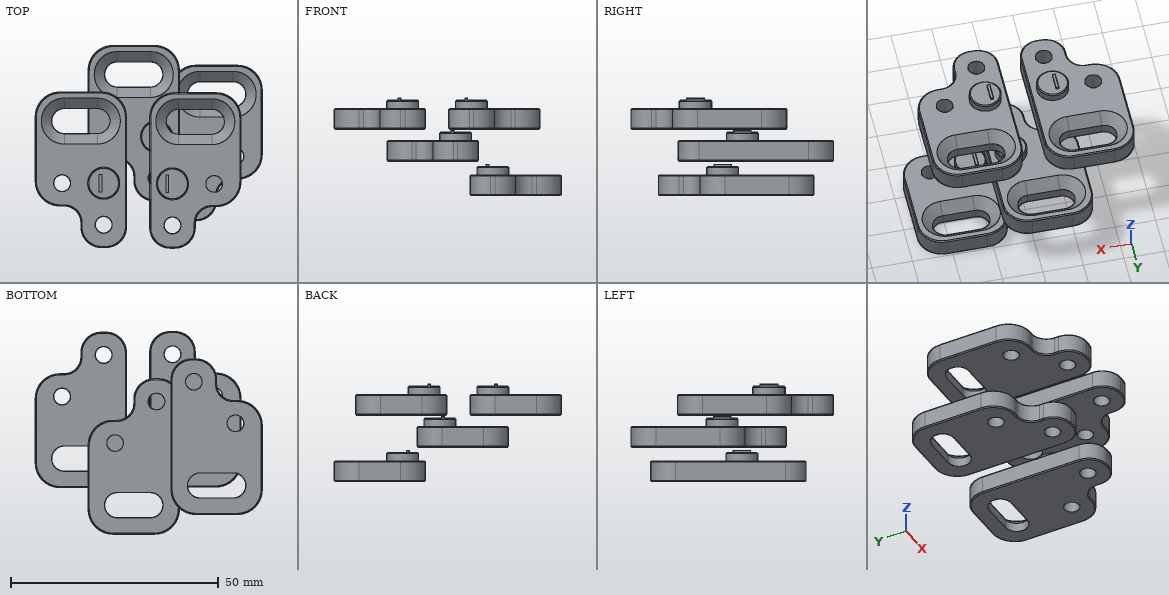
import cadquery as cq

plate_width = 22.0
plate_length = 37.5
plate_thickness = 5.0
foot_width = 11.0
foot_length = 10.0
corner_radius = 6.0
inner_radius = 4.0
foot_radius = 5.0
edge_break = 0.3

hole_diameter = 4.0
hole_spacing = 10.0
foot_hole_x = plate_width - foot_width / 2
foot_hole_y = foot_width / 2
shoulder_hole_x = foot_hole_x - hole_spacing
shoulder_hole_y = foot_hole_y + hole_spacing

slot_length = 14.0
slot_width = 6.0
bevel_width = 2.5
bevel_depth = 2.5
mouth_margin = 1.5
slot_x = plate_width / 2
slot_y = plate_length - mouth_margin - bevel_width - slot_width / 2

boss_diameter = 7.7
boss_height = 2.0
boss_x = foot_hole_x
boss_y = shoulder_hole_y

bar_width = 0.7
bar_length = 4.2
bar_height = 0.5
left_bar_offset = -0.75
right_bar_offset = -1.25

left_places = [(0, 0.15, 16.0), (12.75, 11.4, 8.25)]
right_places = [(27.6, 0, 16.0), (32.75, 6.6, 0)]


def rounded(blank, x, y, radius):
    """Round the upright edge of the blank that stands at (x, y)."""
    corner = cq.selectors.NearestToPointSelector((x, y, plate_thickness / 2))
    return blank.edges("|Z").edges(corner).fillet(radius)


def plate_blank():
    """Plate with a foot, rounded corners and bevelled top and bottom edges."""
    foot_left = plate_width - foot_width
    corners = [
        (foot_left, 0, foot_radius),
        (plate_width, 0, foot_radius),
        (plate_width, plate_length, corner_radius),
        (0, plate_length, corner_radius),
        (0, foot_length, corner_radius),
        (foot_left, foot_length, inner_radius),
    ]
    outline = [(x, y) for x, y, radius in corners]
    blank = cq.Workplane("XY").polyline(outline).close().extrude(plate_thickness)
    for x, y, radius in corners:
        blank = rounded(blank, x, y, radius)
    return blank.faces("<Z or >Z").edges().chamfer(edge_break)


def bevelled_slot():
    """Cutter for the through slot and the bevel that widens it towards the top face."""
    through = (
        cq.Workplane("XY")
        .center(slot_x, slot_y)
        .slot2D(slot_length, slot_width)
        .extrude(plate_thickness)
    )
    narrow_end = cq.Workplane("XY", origin=(slot_x, slot_y, plate_thickness - bevel_depth))
    bevel = (
        narrow_end.slot2D(slot_length, slot_width)
        .workplane(offset=bevel_depth)
        .slot2D(slot_length + 2 * bevel_width, slot_width + 2 * bevel_width)
        .loft(ruled=True)
    )
    return through.union(bevel)


def round_holes():
    """Cutters for the shoulder hole and the foot hole."""
    centres = [(shoulder_hole_x, shoulder_hole_y), (foot_hole_x, foot_hole_y)]
    return cq.Workplane("XY").pushPoints(centres).circle(hole_diameter / 2).extrude(plate_thickness)


def boss():
    """Round boss with a bevelled rim, standing on the top face."""
    base = cq.Workplane("XY", origin=(boss_x, boss_y, plate_thickness))
    return base.circle(boss_diameter / 2).extrude(boss_height).faces(">Z").edges().chamfer(edge_break)


def bar(centre_x):
    """Raised bar on the boss, at the given X."""
    base = cq.Workplane("XY", origin=(centre_x, boss_y, plate_thickness + boss_height))
    return base.rect(bar_width, bar_length).extrude(bar_height)


def bare_plate():
    """Left-hand plate with everything but its bar."""
    return plate_blank().cut(bevelled_slot()).cut(round_holes()).union(boss())


def left_plate():
    """Plate with its foot on the right."""
    return bare_plate().union(bar(boss_x + left_bar_offset))


def right_plate():
    """Mirror image of the left-hand plate, with its own bar position."""
    mirrored = bare_plate().mirror("YZ").translate((plate_width, 0, 0))
    return mirrored.union(bar(plate_width - boss_x + right_bar_offset))


left_plates = [left_plate().translate(place) for place in left_places]
right_plates = [right_plate().translate(place) for place in right_places]

result = cq.Compound.makeCompound([plate.val() for plate in left_plates + right_plates])